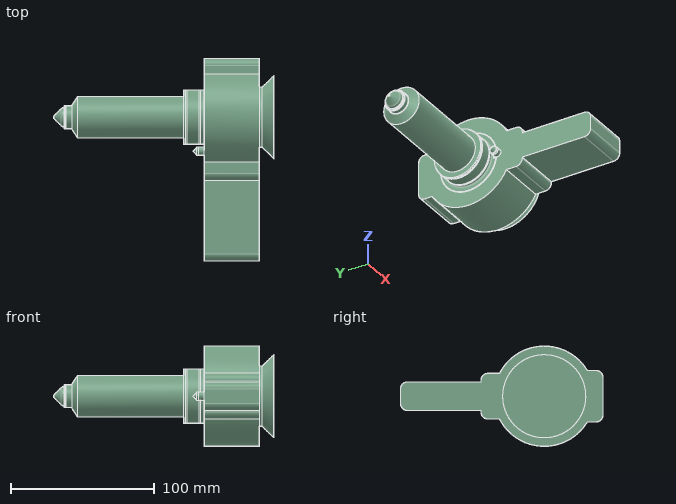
import cadquery as cq
import math

overall_length = 153.0

handle_front = 104.7
handle_back = 143.0
hub_diameter = 69.9
corner_radius = 5.0
tab_end = 41.0
tab_width = 36.0
step_end = -44.0
step_width = 32.0
arm_end = -100.0
arm_width = 20.0

bushing_diameter = 46.0
collar_diameter = 38.0
collar_front = 90.3
shaft_rear_diameter = 22.0
collar_fillet = 0.5
plug_chamfer = 0.3

seal_root_diameter = 36.0
seal_width = 1.0
seal_fronts = (91.6, 101.1)

knob_neck_diameter = 42.0
knob_neck_end = 144.9
knob_rim_diameter = 57.8

shaft_diameter = 29.0
taper_small_diameter = 16.8
taper_front = 12.5
taper_end = 16.5
nose_diameter = 16.0
nose_front = 7.2
nose_front_diameter = 15.6
nose_bevel_length = 0.5

nose_ring_root_diameter = 15.6
nose_ring_front = 8.1
nose_ring_width = 0.54

tip_flat_diameter = 1.5
tip_blunt_diameter = 2.0
tip_blunt_length = 0.2
tip_cone_diameter = 12.0
tip_shank_diameter = 6.0
tip_half_angle = math.radians(45)
tip_shank_length = 7.6
tip_shank_end = nose_front + tip_shank_length

pin_y = -23.5
pin_diameter = 6.0
pin_head_diameter = 5.8
pin_cone_diameter = 5.0
pin_shoulder = 99.3
pin_head_end = 100.8
pin_depth = 6.1
pin_back = handle_front + pin_depth


def cylinder(diameter, start, end, y=0.0):
    """A cylinder along X between two X positions."""
    return cq.Workplane("YZ", origin=(start, y, 0)).circle(diameter / 2).extrude(end - start)


def cone(start_diameter, end_diameter, start, end, y=0.0):
    """A truncated or full cone along X."""
    base = cq.Vector(start, y, 0)
    along_x = cq.Vector(1, 0, 0)
    solid = cq.Solid.makeCone(start_diameter / 2, end_diameter / 2, end - start, base, along_x)
    return cq.Workplane(solid)


def ring(outer_diameter, inner_diameter, start, width):
    """A square-section ring around X."""
    outer = cylinder(outer_diameter, start, start + width)
    return outer.cut(cylinder(inner_diameter, start, start + width))


def rounded_bar(y_end, width):
    """A block as thick as the handle, from the axis to y_end, with its two outer corners rounded."""
    block = cq.Workplane("XY").box(handle_back - handle_front, abs(y_end), width)
    block = block.translate(((handle_front + handle_back) / 2, y_end / 2, 0))
    end_face = ">Y" if y_end > 0 else "<Y"
    return block.faces(end_face).edges("|X").fillet(corner_radius)


def pin_body():
    """A 45 degree point on a head, with a slightly wider shank behind."""
    point = pin_shoulder - pin_cone_diameter / 2
    pin = cylinder(pin_diameter, pin_head_end, pin_back, pin_y)
    pin = pin.union(cylinder(pin_head_diameter, pin_shoulder, pin_head_end, pin_y))
    return pin.union(cone(0, pin_cone_diameter, point, pin_shoulder, pin_y))


def handle_body():
    handle = cylinder(hub_diameter, handle_front, handle_back)
    for y_end, width in ((tab_end, tab_width), (step_end, step_width), (arm_end, arm_width)):
        handle = handle.union(rounded_bar(y_end, width))
    handle = handle.cut(cylinder(bushing_diameter, handle_front, handle_back))
    return handle.cut(cylinder(pin_diameter, handle_front, pin_back, pin_y))


def plug_front(bushing):
    """The ring-shaped face around the foot of the collar."""
    return bushing.faces(cq.selectors.NearestToPointSelector((handle_front, 0, 0)))


def bushing_body():
    bushing = cylinder(bushing_diameter, handle_front, handle_back)
    bushing = bushing.union(cylinder(collar_diameter, collar_front, handle_front))
    bushing = plug_front(bushing).edges(cq.selectors.RadiusNthSelector(0)).fillet(collar_fillet)
    bushing = plug_front(bushing).edges(cq.selectors.RadiusNthSelector(-1)).chamfer(plug_chamfer)
    bushing = bushing.cut(cylinder(shaft_rear_diameter, collar_front, handle_back))
    for seal in seals:
        bushing = bushing.cut(seal)
    slot = cq.Workplane("XY").box(pin_depth, pin_diameter, pin_diameter)
    return bushing.cut(slot.translate((handle_front + pin_depth / 2, pin_y, 0)))


def shaft_body():
    shaft = cylinder(shaft_diameter, taper_end, collar_front)
    shaft = shaft.union(cylinder(shaft_rear_diameter, collar_front, handle_back))
    shaft = shaft.union(cone(taper_small_diameter, shaft_diameter, taper_front, taper_end))
    bevel_end = nose_front + nose_bevel_length
    nose = cylinder(nose_diameter, bevel_end, taper_front)
    nose = nose.union(cone(nose_front_diameter, nose_diameter, nose_front, bevel_end))
    shaft = shaft.union(nose).cut(nose_ring)
    return shaft.cut(cylinder(tip_shank_diameter, nose_front, tip_shank_end))


def tip_body():
    """Half outline in the XY plane, revolved around X."""
    flat = tip_flat_diameter / 2
    blunt = tip_blunt_diameter / 2
    base = tip_cone_diameter / 2
    shank = tip_shank_diameter / 2
    cone_end = tip_blunt_length + (base - blunt) / math.tan(tip_half_angle)
    blend_radius = (nose_front - cone_end) / math.sin(tip_half_angle)
    stem = base + blend_radius * (1 - math.cos(tip_half_angle))
    half_blend = tip_half_angle / 2
    blend_middle = (
        nose_front - blend_radius * math.sin(half_blend),
        stem - blend_radius * (1 - math.cos(half_blend)),
    )
    profile = (
        cq.Workplane("XY")
        .lineTo(0, flat)
        .lineTo(tip_blunt_length, blunt)
        .lineTo(cone_end, base)
        .threePointArc(blend_middle, (nose_front, stem))
        .lineTo(nose_front, shank)
        .lineTo(tip_shank_end, shank)
        .lineTo(tip_shank_end, 0)
        .close()
    )
    return profile.revolve(360, (0, 0, 0), (1, 0, 0))


def knob_body():
    knob = cylinder(knob_neck_diameter, handle_back, knob_neck_end)
    return knob.union(cone(knob_neck_diameter, knob_rim_diameter, knob_neck_end, overall_length))


seals = [ring(collar_diameter, seal_root_diameter, front, seal_width) for front in seal_fronts]
nose_ring = ring(nose_diameter, nose_ring_root_diameter, nose_ring_front, nose_ring_width)
handle = handle_body()
bushing = bushing_body()
shaft = shaft_body()
tip = tip_body()
pin = pin_body()
knob = knob_body()

result = cq.Compound.makeCompound(
    [
        handle.val(),
        bushing.val(),
        shaft.val(),
        tip.val(),
        nose_ring.val(),
        *[seal.val() for seal in seals],
        pin.val(),
        knob.val(),
    ]
)